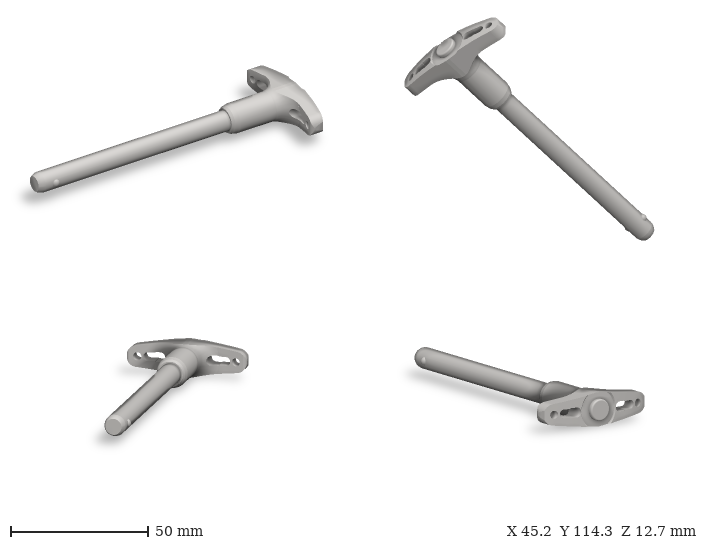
import cadquery as cq
import math

OVERALL_LENGTH = 114.3

SHANK_RADIUS = 3.97
SHANK_LENGTH = 82.2
TIP_RADIUS = 3.0
TIP_LENGTH = 2.5
TIP_BULGE = 0.2
BALL_RADIUS = 1.6
BALL_OFFSET = 3.15
BALL_FROM_TIP = 7.0

BUTTON_TOP = OVERALL_LENGTH - SHANK_LENGTH
BUTTON_RADIUS = 4.05
BUTTON_FILLET = 0.6

COLLAR_FACE_RADIUS = 4.75
COLLAR_EDGE_RADIUS = 5.35
COLLAR_HEIGHT = 1.1
GRIP_RADIUS = 5.77
GRIP_START = 3.1
GRIP_END = 18.45
NECK_RADIUS = 5.93
NECK_Y = 19.15

FLARE_RADIUS = 12.1

HALF_SPAN = 45.18 / 2
HALF_WIDTH = 12.7 / 2
MID_FLAT_HALF = 0.85
END_RADIUS = 4.0
CROWN_Y = BUTTON_TOP - 1.0
TOP_CORNER_X = 22.15
TOP_CORNER_Y = BUTTON_TOP - 3.85
UNDERSIDE_MID_Y = BUTTON_TOP - 7.02
UNDERSIDE_ARC_RADIUS = 124.0
CORNER_RADIUS = 1.3

SPOTFACE_Y = BUTTON_TOP - 1.75
SPOTFACE_FLOOR_RADIUS = 7.2
SPOTFACE_RIM_RADIUS = 8.0

EYE_X = 18.55
EYE_RADIUS = 1.5
SLOT_OUTER_X = 16.35
SLOT_STEP_X = 12.0
SLOT_INNER_X = 7.65
SLOT_OUTER_RADIUS = 1.62
SLOT_INNER_RADIUS = 1.88


def underside_y(x):
    """Height of the arched underside of the bar at a distance x from the pin axis."""
    sag = UNDERSIDE_ARC_RADIUS - math.sqrt(UNDERSIDE_ARC_RADIUS**2 - x**2)
    return UNDERSIDE_MID_Y - sag


def revolve_about_pin(profile):
    """Turn a profile drawn as (radius, y) about the Y axis."""
    return profile.close().revolve(360, (0, 0, 0), (0, 1, 0))


def make_shank():
    tip_y = -SHANK_LENGTH
    shoulder_y = tip_y + TIP_LENGTH
    bow_point = ((SHANK_RADIUS + TIP_RADIUS) / 2 + TIP_BULGE, tip_y + TIP_LENGTH / 2)
    profile = (
        cq.Workplane("XY")
        .moveTo(0, GRIP_START)
        .lineTo(SHANK_RADIUS, GRIP_START)
        .lineTo(SHANK_RADIUS, shoulder_y)
        .threePointArc(bow_point, (TIP_RADIUS, tip_y))
        .lineTo(0, tip_y)
    )
    shank = revolve_about_pin(profile)
    ball_y = tip_y + BALL_FROM_TIP
    for side in (-1, 1):
        ball = cq.Workplane("XY").sphere(BALL_RADIUS).translate((side * BALL_OFFSET, ball_y, 0))
        shank = shank.union(ball)
    return shank


def make_grip():
    """Sleeve with the flare; the flare ends level with the bar underside."""
    flare_y = underside_y(FLARE_RADIUS)
    reach = FLARE_RADIUS - NECK_RADIUS
    drop = flare_y - NECK_Y
    blend_radius = (reach**2 + drop**2) / (2 * drop)
    half_angle = math.asin(reach / blend_radius) / 2
    blend_mid = (
        FLARE_RADIUS - blend_radius * math.sin(half_angle),
        flare_y - blend_radius * (1 - math.cos(half_angle)),
    )
    profile = (
        cq.Workplane("XY")
        .moveTo(0, 0)
        .lineTo(COLLAR_FACE_RADIUS, 0)
        .lineTo(COLLAR_EDGE_RADIUS, COLLAR_HEIGHT)
        .lineTo(GRIP_RADIUS, GRIP_START)
        .lineTo(GRIP_RADIUS, GRIP_END)
        .lineTo(NECK_RADIUS, NECK_Y)
        .threePointArc(blend_mid, (FLARE_RADIUS, flare_y))
        .lineTo(FLARE_RADIUS, UNDERSIDE_MID_Y)
        .lineTo(0, UNDERSIDE_MID_Y)
    )
    return revolve_about_pin(profile)


def make_bar():
    """Bar with an arched top and underside, seen along Z."""
    corner_x = HALF_SPAN - CORNER_RADIUS
    corner_y = underside_y(corner_x) + CORNER_RADIUS
    corner_mid = (
        corner_x + CORNER_RADIUS * math.sqrt(0.5),
        corner_y - CORNER_RADIUS * math.sqrt(0.5),
    )
    profile = (
        cq.Workplane("XY", origin=(0, 0, -HALF_WIDTH))
        .moveTo(-TOP_CORNER_X, TOP_CORNER_Y)
        .threePointArc((0, CROWN_Y), (TOP_CORNER_X, TOP_CORNER_Y))
        .lineTo(HALF_SPAN, corner_y)
        .threePointArc(corner_mid, (corner_x, underside_y(corner_x)))
        .threePointArc((0, UNDERSIDE_MID_Y), (-corner_x, underside_y(corner_x)))
        .threePointArc((-corner_mid[0], corner_mid[1]), (-HALF_SPAN, corner_y))
        .close()
    )
    return profile.extrude(2 * HALF_WIDTH)


def make_plan_prism():
    """Tapered outline with round ends, seen along Y; its sides are tangent to the ends."""
    end_centre = HALF_SPAN - END_RADIUS
    run = end_centre - MID_FLAT_HALF
    to_centre = math.atan2(HALF_WIDTH, run)
    taper = to_centre - math.asin(END_RADIUS / math.hypot(run, HALF_WIDTH))
    tangent_x = end_centre + END_RADIUS * math.sin(taper)
    tangent_z = END_RADIUS * math.cos(taper)
    outline = (
        cq.Workplane("XZ")
        .moveTo(-MID_FLAT_HALF, HALF_WIDTH)
        .lineTo(MID_FLAT_HALF, HALF_WIDTH)
        .lineTo(tangent_x, tangent_z)
        .threePointArc((HALF_SPAN, 0), (tangent_x, -tangent_z))
        .lineTo(MID_FLAT_HALF, -HALF_WIDTH)
        .lineTo(-MID_FLAT_HALF, -HALF_WIDTH)
        .lineTo(-tangent_x, -tangent_z)
        .threePointArc((-HALF_SPAN, 0), (-tangent_x, tangent_z))
        .close()
    )
    return outline.extrude(-BUTTON_TOP)


def make_slot(outer_x, inner_x, radius):
    """Round-ended slot along X that passes through the handle along Y."""
    return (
        cq.Workplane("XZ")
        .center((outer_x + inner_x) / 2, 0)
        .slot2D(outer_x - inner_x, 2 * radius)
        .extrude(-BUTTON_TOP)
    )


def make_openings():
    """Eye and stepped slot on the +X side."""
    eye = cq.Workplane("XZ").center(EYE_X, 0).circle(EYE_RADIUS).extrude(-BUTTON_TOP)
    narrow_slot = make_slot(SLOT_OUTER_X, SLOT_INNER_X, SLOT_OUTER_RADIUS)
    wide_end_x = SLOT_INNER_X + SLOT_INNER_RADIUS
    wide_slot = (
        cq.Workplane("XZ")
        .moveTo(SLOT_STEP_X, SLOT_INNER_RADIUS)
        .lineTo(wide_end_x, SLOT_INNER_RADIUS)
        .threePointArc((SLOT_INNER_X, 0), (wide_end_x, -SLOT_INNER_RADIUS))
        .lineTo(SLOT_STEP_X, -SLOT_INNER_RADIUS)
        .close()
        .extrude(-BUTTON_TOP)
    )
    return eye.union(narrow_slot).union(wide_slot)


def make_spotface():
    profile = (
        cq.Workplane("XY")
        .moveTo(0, SPOTFACE_Y)
        .lineTo(SPOTFACE_FLOOR_RADIUS, SPOTFACE_Y)
        .lineTo(SPOTFACE_RIM_RADIUS, CROWN_Y)
        .lineTo(0, CROWN_Y)
    )
    return revolve_about_pin(profile)


def make_button():
    height = BUTTON_TOP - UNDERSIDE_MID_Y
    button = cq.Workplane("XZ", origin=(0, BUTTON_TOP, 0)).circle(BUTTON_RADIUS).extrude(height)
    return button.faces(">Y").edges().fillet(BUTTON_FILLET)


handle = make_bar().union(make_grip()).intersect(make_plan_prism())
openings = make_openings()
handle = handle.cut(openings).cut(openings.mirror("YZ")).cut(make_spotface())

result = handle.union(make_shank()).union(make_button())